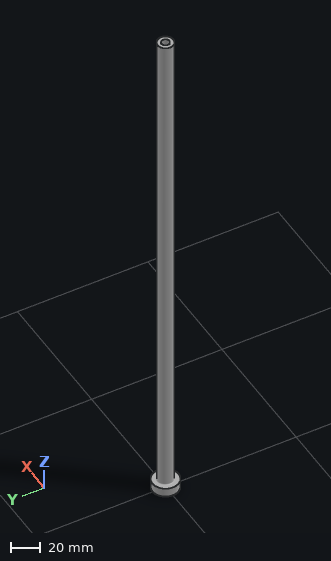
import cadquery as cq

total_length = 400.0
head_diameter = 20.0
head_height = 7.0
shaft_diameter = 12.0
bore_diameter = 6.0
root_fillet = 1.0

head = cq.Workplane("XY").circle(head_diameter / 2).extrude(head_height)
shaft = cq.Workplane("XY").circle(shaft_diameter / 2).extrude(total_length)
sleeve = head.union(shaft)

head_top = sleeve.faces(cq.selectors.NearestToPointSelector((0, 0, head_height)))
sleeve = head_top.edges(cq.selectors.RadiusNthSelector(0)).fillet(root_fillet)

result = sleeve.faces(">Z").workplane().hole(bore_diameter)